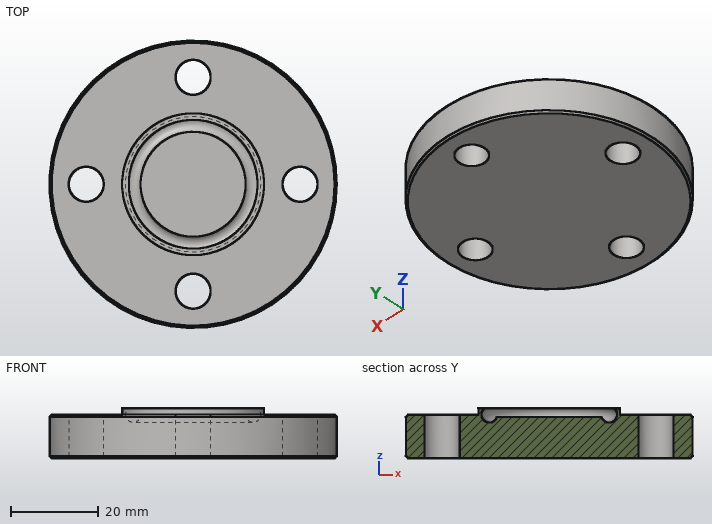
import cadquery as cq
import math

flange_diameter = 66.0
flange_thickness = 10.0
edge_chamfer = 0.5

boss_diameter = 32.6
boss_height = 1.45
recess_depth = 2.0
groove_center_diameter = 27.5
groove_radius = 1.8

bolt_hole_diameter = 8.0
bolt_circle_diameter = 49.1
bolt_hole_count = 4

top_z = flange_thickness + boss_height


def make_flange():
    disc = cq.Workplane("XY").circle(flange_diameter / 2).extrude(flange_thickness)
    return disc.edges().chamfer(edge_chamfer)


def make_boss():
    return cq.Workplane("XY").circle(boss_diameter / 2).extrude(top_z)


def make_recess():
    groove_center_z = flange_thickness
    floor_z = top_z - recess_depth
    floor_drop = groove_center_z - floor_z
    center_radius = groove_center_diameter / 2
    floor_radius = center_radius - math.sqrt(groove_radius**2 - floor_drop**2)
    rim_radius = center_radius + math.sqrt(groove_radius**2 - boss_height**2)
    groove_bottom = (center_radius, groove_center_z - groove_radius)
    profile = (
        cq.Workplane("XZ")
        .moveTo(0, floor_z)
        .lineTo(floor_radius, floor_z)
        .threePointArc(groove_bottom, (rim_radius, top_z))
        .lineTo(0, top_z)
        .close()
    )
    return profile.revolve(360, (0, 0, 0), (0, 1, 0))


def make_bolt_holes():
    return (
        cq.Workplane("XY")
        .polarArray(bolt_circle_diameter / 2, 0, 360, bolt_hole_count)
        .circle(bolt_hole_diameter / 2)
        .extrude(flange_thickness)
    )


result = make_flange().union(make_boss()).cut(make_recess()).cut(make_bolt_holes())